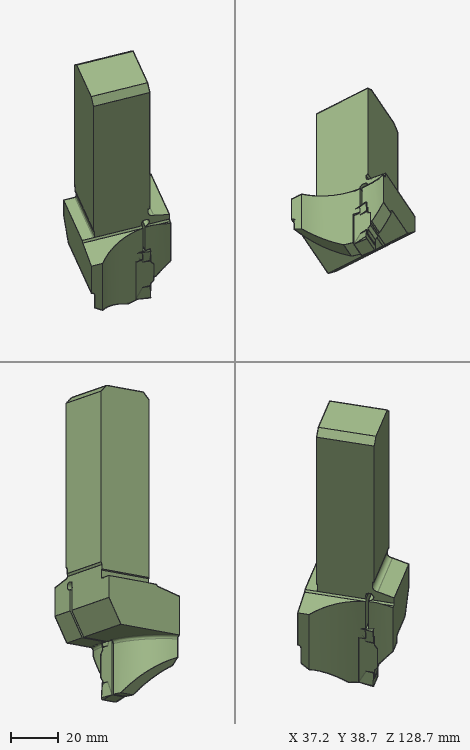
import cadquery as cq


length = 128.73
right_x = 37.18
front_y = -5.0
depth = 38.67
back_y = front_y + depth

shank_side = 25.0
end_chamfer = 3.0

head_left_x = 0.5
head_bottom_z = 24.6
head_chamfer_x = 6.2
head_chamfer_z = 10.7
left_step_top_z = 51.7
left_step_bottom_z = 50.6
ledge_z = 44.8
shoulder_drop = 0.8
shoulder_end_z = 41.4
front_relief = 0.4
front_relief_top_z = 48.7
back_relief = 0.8
back_relief_top_z = 54.5
back_root_top_z = 51.9
back_root_radius = 2.4
back_slope_end_z = 47.6

cutting_y = 24.9
outer_wall_x = 19.15
outer_wall_radius = 31.6
inner_wall_x = 25.6
inner_wall_radius = 32.6
blade_end_z = 1.25
blade_flat_end_y = 14.6
blade_toe_y = -3.6
blade_toe_z = 15.2
blade_root_fillet = 1.4
jaw_nose_y = 27.3
jaw_nose_z = 12.2
jaw_heel_z = 20.9

slot_y = 22.1
slot_width = 1.1
slot_hole_y = 23.0
slot_hole_z = 46.2
slot_hole_radius = 1.75

insert_length = 30.0
insert_mid_z = insert_length / 2
insert_seat_y = 18.5
insert_crown_y = 26.6
insert_crown_half = 5.0
crown_ramp = 1.7
chip_step = 0.35
chip_land = 4.1
shaft_width = 6.3
tip_width = 8.2
tip_waist_width = 7.2
tip_depth = 7.2
tip_corner_radius = 0.8
relief_angle = 7.8
insert_x = outer_wall_x + shaft_width / 2


def extrude_along_x(outline, x_start, x_end):
    """Prism of a (Y, Z) outline between two X positions."""
    return cq.Workplane("YZ").workplane(offset=x_start).polyline(outline).close().extrude(x_end - x_start)


def wall_cylinder(wall_x, radius, z_start, z_end):
    """Cylinder along Z whose leftmost line lies at wall_x on the cutting plane."""
    return (
        cq.Workplane("XY", origin=(wall_x + radius, cutting_y, z_start))
        .circle(radius)
        .extrude(z_end - z_start)
    )



def make_insert_shaft():
    """Middle of the insert, with a raised crown; the ends are ground back to the relief."""
    ramp_half = insert_crown_half + crown_ramp
    step_half = insert_mid_z - chip_land
    outline = [(insert_seat_y, 0)]
    for end in (-1, 1):
        rise = [
            (cutting_y, insert_mid_z),
            (cutting_y, step_half),
            (cutting_y + chip_step, step_half),
            (cutting_y + chip_step, ramp_half),
            (insert_crown_y, insert_crown_half),
        ]
        points = [(y, insert_mid_z + end * half) for y, half in rise]
        outline += points if end < 0 else points[::-1]
    outline.append((insert_seat_y, insert_length))
    shaft = extrude_along_x(outline, insert_x - shaft_width / 2, insert_x + shaft_width / 2)
    ground_ends = (
        cq.Workplane("XZ", origin=(insert_x, cutting_y, insert_mid_z))
        .rect(2 * tip_width, insert_length)
        .extrude(cutting_y - insert_seat_y, taper=relief_angle)
    )
    crown_space = (
        cq.Workplane("XY")
        .box(2 * tip_width, insert_crown_y - cutting_y, insert_length, centered=(True, False, True))
        .translate((insert_x, cutting_y, insert_mid_z))
    )
    return shaft.intersect(ground_ends.union(crown_space))


def make_tip():
    """Cutting tip at Z = 0: wider than the shaft, with relief on its end and flanks."""
    half_end = tip_width / 2
    half_waist = tip_waist_width / 2
    overrun = 2.0
    deep_z = tip_depth + overrun
    half_deep = half_end - (half_end - half_waist) * deep_z / tip_depth
    plan = (
        cq.Sketch()
        .polygon([
            (-half_end, 0),
            (half_end, 0),
            (half_deep, deep_z),
            (-half_deep, deep_z),
            (-half_end, 0),
        ])
        .vertices("<Y")
        .fillet(tip_corner_radius)
    )
    block = (
        cq.Workplane("XZ", origin=(insert_x, cutting_y, 0))
        .placeSketch(plan)
        .extrude(cutting_y - insert_seat_y, taper=relief_angle)
    )
    keep = (
        cq.Workplane("XY", origin=(insert_x, cutting_y, 0))
        .rect(2 * tip_width, 2 * tip_width)
        .extrude(tip_depth)
    )
    return block.intersect(keep)


def make_insert():
    tip = make_tip()
    far_tip = tip.mirror("XY", (0, 0, insert_mid_z))
    return make_insert_shaft().union(tip).union(far_tip)



def make_shank_and_head():
    """Shank and head: the X-Z outline crossed with the Y-Z outline."""
    front_outline = [
        (end_chamfer, length),
        (shank_side - end_chamfer, length),
        (shank_side, length - end_chamfer),
        (shank_side, ledge_z),
        (shank_side + shoulder_drop, ledge_z - shoulder_drop),
        (right_x, shoulder_end_z),
        (right_x, head_bottom_z),
        (head_left_x + head_chamfer_x, head_bottom_z),
        (head_left_x, head_bottom_z + head_chamfer_z),
        (head_left_x, left_step_bottom_z),
        (0, left_step_top_z),
        (0, length - end_chamfer),
    ]
    front_prism = (
        cq.Workplane("XZ", origin=(0, back_y, 0))
        .polyline(front_outline)
        .close()
        .extrude(depth)
    )
    neck_y = shank_side - back_relief
    side_prism = (
        cq.Workplane("YZ")
        .moveTo(0, length)
        .lineTo(shank_side, length)
        .lineTo(shank_side, back_relief_top_z)
        .lineTo(neck_y, back_relief_top_z - back_relief)
        .lineTo(neck_y, back_root_top_z)
        .radiusArc((neck_y + back_root_radius, back_root_top_z - back_root_radius), -back_root_radius)
        .lineTo(back_y, back_slope_end_z)
        .lineTo(back_y, head_bottom_z)
        .lineTo(front_y, head_bottom_z)
        .lineTo(front_y, ledge_z)
        .lineTo(0, ledge_z)
        .radiusArc((front_relief, ledge_z + front_relief), -front_relief)
        .lineTo(front_relief, front_relief_top_z - front_relief)
        .lineTo(0, front_relief_top_z)
        .close()
        .extrude(right_x)
    )
    return front_prism.intersect(side_prism)


def make_blade_and_jaw():
    """Curved blade in front of the insert and clamping jaw behind it, outer wall only."""
    blade_outline = [
        (front_y, head_bottom_z),
        (front_y, blade_toe_z),
        (blade_toe_y, blade_toe_z),
        (blade_flat_end_y, blade_end_z),
        (insert_seat_y, blade_end_z),
        (insert_seat_y, head_bottom_z),
    ]
    ramp_top_z = insert_mid_z + insert_crown_half + crown_ramp
    jaw_outline = [
        (back_y, head_bottom_z),
        (back_y, jaw_heel_z),
        (jaw_nose_y, jaw_nose_z),
        (insert_crown_y, jaw_nose_z),
        (insert_crown_y, insert_mid_z + insert_crown_half),
        (cutting_y + chip_step, ramp_top_z),
        (cutting_y + chip_step, head_bottom_z),
    ]
    blade = extrude_along_x(blade_outline, 0, right_x)
    jaw = extrude_along_x(jaw_outline, 0, right_x)
    outer_wall = wall_cylinder(outer_wall_x, outer_wall_radius, 0, head_bottom_z)
    return blade.union(jaw).intersect(outer_wall)


def make_clamping_slot():
    """Slot that frees the jaw, ending in a round hole, through the full width."""
    slot_height = slot_hole_z - head_bottom_z
    slot = (
        cq.Workplane("XY", origin=(0, slot_y, head_bottom_z))
        .rect(2 * right_x, slot_width)
        .extrude(slot_height)
    )
    hole = (
        cq.Workplane("YZ")
        .center(slot_hole_y, slot_hole_z)
        .circle(slot_hole_radius)
        .extrude(right_x)
    )
    return slot.union(hole)


def make_holder(insert):
    holder = make_shank_and_head().union(make_blade_and_jaw())
    margin = 1.0
    root_edges = cq.selectors.BoxSelector(
        (outer_wall_x - margin, front_y, head_bottom_z - margin),
        (right_x - margin, back_y, head_bottom_z + margin),
    )
    holder = holder.edges(root_edges).edges("%CIRCLE").fillet(blade_root_fillet)
    inner_wall = wall_cylinder(inner_wall_x, inner_wall_radius, 0, length)
    return holder.cut(inner_wall).cut(make_clamping_slot()).cut(insert)


insert = make_insert()
holder = make_holder(insert)

result = cq.Compound.makeCompound([holder.solids().val(), insert.solids().val()])